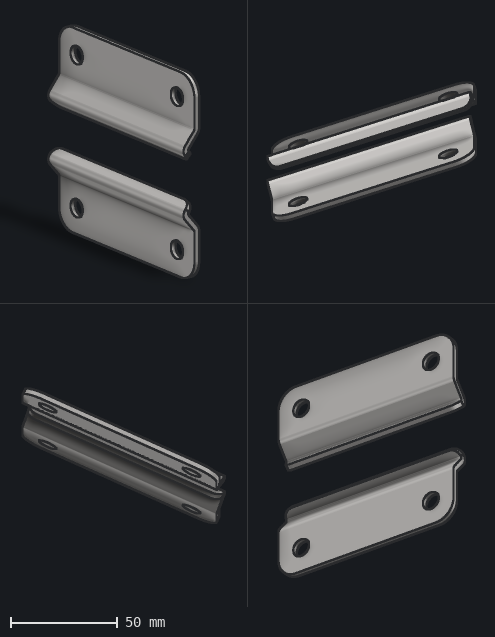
import cadquery as cq
import math

TOTAL_HEIGHT = 102.0
WIDTH = 100.0
THICKNESS = 3.0
DEPTH = 9.5
BRACKET_HEIGHT = 41.0

PLATE_LENGTH = 25.5
BEND_RADIUS = 1.0
RAMP_ANGLE = math.radians(40)
LIP_ANGLE = math.radians(45)

PLATE_CORNER_RADIUS = 10.0
LIP_CORNER_RADIUS = 5.0
HOLE_DIAMETER = 9.0
HOLE_INSET = 13.0

OUTER_RADIUS = BEND_RADIUS + THICKNESS
MIDDLE_RADIUS = BEND_RADIUS + THICKNESS / 2
RAMP_LENGTH = (
    DEPTH - THICKNESS - 2 * MIDDLE_RADIUS * (1 - math.cos(RAMP_ANGLE))
) / math.sin(RAMP_ANGLE)
CREST_DROP = (
    PLATE_LENGTH
    + 2 * MIDDLE_RADIUS * math.sin(RAMP_ANGLE)
    + RAMP_LENGTH * math.cos(RAMP_ANGLE)
)
LIP_LENGTH = (
    BRACKET_HEIGHT - CREST_DROP - OUTER_RADIUS * math.sin(LIP_ANGLE)
) / math.cos(LIP_ANGLE)

TOP = TOTAL_HEIGHT / 2
FRONT = -DEPTH / 2
BACK = DEPTH / 2
PLATE_FRONT = BACK - THICKNESS

ROOT_CENTER = (PLATE_FRONT - BEND_RADIUS, TOP - PLATE_LENGTH)
CREST_CENTER = (FRONT + OUTER_RADIUS, TOP - CREST_DROP)


def root_point(radius, angle):
    """Point on the bend between plate and ramp, turned down from its back side."""
    y, z = ROOT_CENTER
    return (y + radius * math.cos(angle), z - radius * math.sin(angle))


def crest_point(radius, angle):
    """Point on the bend between ramp and lip, turned down from its front side."""
    y, z = CREST_CENTER
    return (y - radius * math.cos(angle), z - radius * math.sin(angle))


def lip_end(radius):
    """Free end of the lip, on the face that continues the given bend radius."""
    y, z = crest_point(radius, LIP_ANGLE)
    return (y + LIP_LENGTH * math.sin(LIP_ANGLE), z - LIP_LENGTH * math.cos(LIP_ANGLE))


def bent_sheet():
    """Sheet of constant thickness: flat plate, sloping ramp and returned lip."""
    return (
        cq.Workplane("YZ", origin=(-WIDTH / 2, 0, 0))
        .moveTo(BACK, TOP)
        .lineTo(*root_point(OUTER_RADIUS, 0))
        .threePointArc(
            root_point(OUTER_RADIUS, RAMP_ANGLE / 2), root_point(OUTER_RADIUS, RAMP_ANGLE)
        )
        .lineTo(*crest_point(BEND_RADIUS, -RAMP_ANGLE))
        .threePointArc(crest_point(BEND_RADIUS, 0), crest_point(BEND_RADIUS, LIP_ANGLE))
        .lineTo(*lip_end(BEND_RADIUS))
        .lineTo(*lip_end(OUTER_RADIUS))
        .lineTo(*crest_point(OUTER_RADIUS, LIP_ANGLE))
        .threePointArc(crest_point(OUTER_RADIUS, 0), crest_point(OUTER_RADIUS, -RAMP_ANGLE))
        .lineTo(*root_point(BEND_RADIUS, RAMP_ANGLE))
        .threePointArc(
            root_point(BEND_RADIUS, RAMP_ANGLE / 2), root_point(BEND_RADIUS, 0)
        )
        .lineTo(PLATE_FRONT, TOP)
        .close()
        .extrude(WIDTH)
    )


def round_plate_corners(sheet):
    """Round the two corners at the top of the flat plate."""
    return sheet.edges("|Y").edges(">Z").fillet(PLATE_CORNER_RADIUS)


def lip_corner_cutter():
    """Cutter rounding the lip corner at +X, with its arc stopping where the bend begins."""
    outer_end_y, outer_end_z = lip_end(OUTER_RADIUS)
    lip_plane = cq.Plane(
        origin=(WIDTH / 2, outer_end_y, outer_end_z),
        xDir=(1, 0, 0),
        normal=(0, -math.cos(LIP_ANGLE), -math.sin(LIP_ANGLE)),
    )
    radius = LIP_CORNER_RADIUS
    arc_middle = radius * (1 - math.sqrt(0.5))
    rise = radius - LIP_LENGTH
    start_inset = radius - math.sqrt(radius**2 - rise**2)
    return (
        cq.Workplane(lip_plane)
        .moveTo(0, LIP_LENGTH)
        .lineTo(-start_inset, LIP_LENGTH)
        .threePointArc((-arc_middle, arc_middle), (-radius, 0))
        .lineTo(0, 0)
        .close()
        .extrude(-THICKNESS)
    )


def mounting_holes():
    """Cutters for the pair of through holes in the flat plate."""
    hole_x = WIDTH / 2 - HOLE_INSET
    return (
        cq.Workplane("XZ", origin=(0, BACK, 0))
        .pushPoints([(-hole_x, TOP - HOLE_INSET), (hole_x, TOP - HOLE_INSET)])
        .circle(HOLE_DIAMETER / 2)
        .extrude(THICKNESS)
    )


def make_bracket():
    """Upper bracket, with its lip pointing down toward the middle."""
    lip_corner = lip_corner_cutter()
    return (
        round_plate_corners(bent_sheet())
        .cut(lip_corner)
        .cut(lip_corner.mirror("YZ"))
        .cut(mounting_holes())
    )


brackets = []
for flip in (False, True):
    bracket = make_bracket()
    if flip:
        bracket = bracket.mirror("XY")
    brackets.append(bracket.solids().val())

result = cq.Compound.makeCompound(brackets)